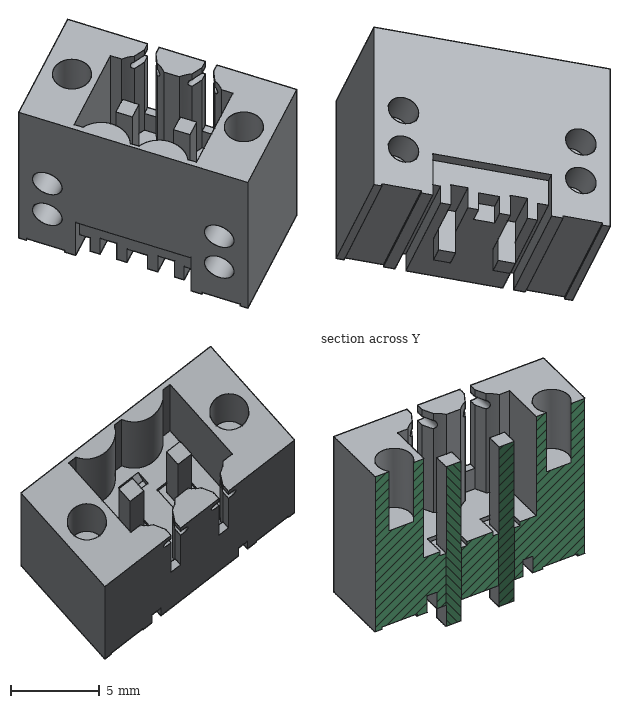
import cadquery as cq


WIDTH = 14.0
DEPTH = 7.45
HEIGHT = 11.05
FRONT = -DEPTH / 2
BACK = DEPTH / 2

PITCH = 3.53
POLES = [-PITCH / 2, PITCH / 2]
PIN_SIZE = 1.01
PIN_Y = -0.22
PIN_TIP = -1.5
PIN_TOP = 9.87
PIN_RECESS_SIZE = 1.78
PIN_RECESS_DEPTH = 0.28

POCKET_WIDTH = 7.48
POCKET_FRONT = -3.4
POCKET_BACK = 2.11
POCKET_FLOOR = 4.0
LOBE_RADIUS = 1.65
REAR_LOBE_Y = 1.08
FRONT_LOBE_Y = -4.21
CENTER_RELIEF_Y = -3.51

CHANNEL_INNER_WIDTH = 1.4
CHANNEL_INNER_Y = 2.58
CHANNEL_END_Y = 3.23
SLIT_WIDTH = 0.7
SLIT_FLOOR = 5.46
GROOVE_WIDTH = 1.8
GROOVE_HEIGHT = 0.6
GROOVE_BOTTOM = 9.95

RAMP_WIDTH = 1.45
RAMP_FRONT = -2.6
RAMP_TOE = -2.17
RAMP_BACK = -1.74
RAMP_DEPTH = 0.43

HOLE_X = 5.25
SCREW_DIAMETER = 2.21
SCREW_Y = 0.03
SCREW_DEPTH = 4.2
SIDE_DIAMETER = 1.8
SIDE_HEIGHTS = [2.85, 5.56]
SIDE_DEPTH = 1.96

NOTCH_WIDTH = 7.03
NOTCH_HEIGHT = 2.9
NOTCH_DEPTH = 0.6
FEET_WIDTH = 5.74
FOOT_GAP_HEIGHT = 1.18
MIDDLE_GAP_WIDTH = 1.25
MIDDLE_GAP_DEPTH = 0.98
PIN_GAP_HEIGHT = 1.4

UNDERCUT_X = 5.36
UNDERCUT_WIDTH = 2.32
UNDERCUT_HEIGHT = 0.15


def block(x_range, y_range, z_range):
    """A box between the given limits."""
    size = [end - start for start, end in (x_range, y_range, z_range)]
    return cq.Workplane("XY").box(*size, centered=False).translate((x_range[0], y_range[0], z_range[0]))


def centered_block(x, width, y_range, z_range):
    """A box of the given width, centred on x."""
    return block((x - width / 2, x + width / 2), y_range, z_range)


def square_post(x, size, bottom, top):
    """A square post on the axis of a pin."""
    return centered_block(x, size, (PIN_Y - size / 2, PIN_Y + size / 2), (bottom, top))


def upright_cylinder(x, y, radius, bottom, top):
    return cq.Workplane("XY", origin=(x, y, bottom)).circle(radius).extrude(top - bottom)


def pocket():
    """The plug pocket: scalloped outwards at the rear and inwards at the front."""
    height_range = (POCKET_FLOOR, HEIGHT)
    space = centered_block(0, POCKET_WIDTH, (POCKET_FRONT, POCKET_BACK), height_range)
    relief = centered_block(0, PITCH, (CENTER_RELIEF_Y, POCKET_FRONT), height_range)
    space = space.union(relief)
    for x in POLES:
        rear_lobe = upright_cylinder(x, REAR_LOBE_Y, LOBE_RADIUS, *height_range)
        front_lobe = upright_cylinder(x, FRONT_LOBE_Y, LOBE_RADIUS, *height_range)
        space = space.union(rear_lobe).union(tapered_channel(x)).cut(front_lobe)
    return space


def tapered_channel(x):
    """The channel that narrows from a rear scallop to the latch slit."""
    inner = CHANNEL_INNER_WIDTH / 2
    outer = SLIT_WIDTH / 2
    outline = [
        (x - inner, REAR_LOBE_Y),
        (x + inner, REAR_LOBE_Y),
        (x + inner, CHANNEL_INNER_Y),
        (x + outer, CHANNEL_END_Y),
        (x - outer, CHANNEL_END_Y),
        (x - inner, CHANNEL_INNER_Y),
    ]
    plane = cq.Workplane("XY", origin=(0, 0, POCKET_FLOOR))
    return plane.polyline(outline).close().extrude(HEIGHT - POCKET_FLOOR)


def latch_opening(x):
    """A slit through the rear wall, crossed near its top by a round-ended groove."""
    slit = centered_block(x, SLIT_WIDTH, (REAR_LOBE_Y, BACK), (SLIT_FLOOR, HEIGHT))
    groove = (
        cq.Workplane("XZ", origin=(x, BACK, GROOVE_BOTTOM + GROOVE_HEIGHT / 2))
        .slot2D(GROOVE_WIDTH, GROOVE_HEIGHT)
        .extrude(BACK - REAR_LOBE_Y)
    )
    return slit.union(groove)


def ramp_recess():
    """A recess in the pocket floor, flat at the rear and ramped up at the front."""
    bottom = POCKET_FLOOR - RAMP_DEPTH
    side = [(RAMP_FRONT, POCKET_FLOOR), (RAMP_TOE, bottom), (RAMP_BACK, bottom), (RAMP_BACK, POCKET_FLOOR)]
    plane = cq.Workplane("YZ", origin=(-RAMP_WIDTH / 2, 0, 0))
    return plane.polyline(side).close().extrude(RAMP_WIDTH)


def end_holes(x):
    """The screw hole from above and the two holes from the front at one end."""
    holes = upright_cylinder(x, SCREW_Y, SCREW_DIAMETER / 2, HEIGHT - SCREW_DEPTH, HEIGHT)
    for z in SIDE_HEIGHTS:
        side_hole = cq.Workplane("XZ", origin=(x, FRONT, z)).circle(SIDE_DIAMETER / 2).extrude(-SIDE_DEPTH)
        holes = holes.union(side_hole)
    return holes


def front_notch():
    """The notch in the front wall and the gaps that leave a row of feet behind it."""
    notch_back = FRONT + NOTCH_DEPTH
    notch = centered_block(0, NOTCH_WIDTH, (FRONT, notch_back), (0, NOTCH_HEIGHT))
    outer_gap_width = (NOTCH_WIDTH - FEET_WIDTH) / 2
    outer_gap_x = (NOTCH_WIDTH + FEET_WIDTH) / 4
    for x in (-outer_gap_x, outer_gap_x):
        notch = notch.union(centered_block(x, outer_gap_width, (FRONT, BACK), (0, FOOT_GAP_HEIGHT)))
    middle_range = (FRONT, notch_back + MIDDLE_GAP_DEPTH)
    notch = notch.union(centered_block(0, MIDDLE_GAP_WIDTH, middle_range, (0, FOOT_GAP_HEIGHT)))
    for x in POLES:
        notch = notch.union(centered_block(x, PIN_SIZE, (FRONT, PIN_Y), (0, PIN_GAP_HEIGHT)))
    return notch


def make_housing():
    housing = centered_block(0, WIDTH, (FRONT, BACK), (0, HEIGHT))
    housing = housing.cut(pocket()).cut(ramp_recess()).cut(front_notch())
    for x in POLES:
        pin_recess = square_post(x, PIN_RECESS_SIZE, POCKET_FLOOR - PIN_RECESS_DEPTH, POCKET_FLOOR)
        housing = housing.cut(latch_opening(x)).cut(pin_recess).cut(make_pin(x))
    for side in (-1, 1):
        undercut = centered_block(side * UNDERCUT_X, UNDERCUT_WIDTH, (FRONT, BACK), (0, UNDERCUT_HEIGHT))
        housing = housing.cut(end_holes(side * HOLE_X)).cut(undercut)
    return housing


def make_pin(x):
    return square_post(x, PIN_SIZE, PIN_TIP, PIN_TOP)


housing = make_housing()
pins = [make_pin(x) for x in POLES]

result = cq.Compound.makeCompound([housing.val(), *[pin.val() for pin in pins]])